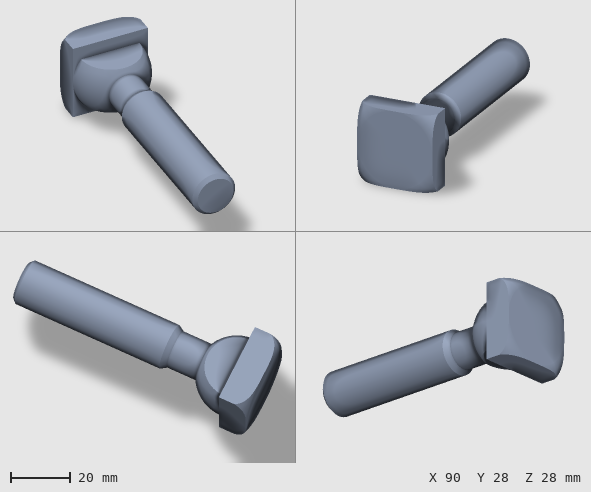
import cadquery as cq
import math

total_length = 90.0
head_width = 28.0
head_thickness = 10.0
corner_rounding = 6.0
collar_height = 17.6
neck_radius = 6.7
shank_radius = 8.0
shank_start = 32.85
shank_lead_in = 2.2
tip_chamfer = 1.35

half_width = head_width / 2
ball_reach = math.sqrt(half_width**2 - neck_radius**2)


def make_head():
    """Square plate with its front corners rounded around the bolt axis."""
    plate = cq.Workplane("YZ").rect(head_width, head_width).extrude(head_thickness)
    diagonal_step = corner_rounding / math.sqrt(2)
    rounded_envelope = (
        cq.Workplane("XY")
        .lineTo(0, half_width)
        .threePointArc(
            (corner_rounding - diagonal_step, half_width + diagonal_step),
            (corner_rounding, half_width + corner_rounding),
        )
        .lineTo(head_thickness, half_width + corner_rounding)
        .lineTo(head_thickness, 0)
        .close()
        .revolve(360, (0, 0, 0), (1, 0, 0))
    )
    return plate.intersect(rounded_envelope)


def make_collar():
    """Half ball behind the head, flattened above and below, ending at the neck radius."""
    middle_angle = math.atan2(neck_radius, ball_reach) / 2 + math.pi / 4
    ball = (
        cq.Workplane("XY")
        .lineTo(0, half_width)
        .threePointArc(
            (half_width * math.cos(middle_angle), half_width * math.sin(middle_angle)),
            (ball_reach, neck_radius),
        )
        .lineTo(ball_reach, 0)
        .close()
        .revolve(360, (0, 0, 0), (1, 0, 0))
    )
    slab = cq.Workplane("XY").box(
        half_width, head_width, collar_height, centered=(False, True, True)
    )
    return ball.intersect(slab).translate((head_thickness, 0, 0))


def make_stem():
    """Neck and chamfered shank, turned about X."""
    return (
        cq.Workplane("XY")
        .moveTo(head_thickness, 0)
        .lineTo(head_thickness, neck_radius)
        .lineTo(shank_start, neck_radius)
        .lineTo(shank_start + shank_lead_in, shank_radius)
        .lineTo(total_length - tip_chamfer, shank_radius)
        .lineTo(total_length, shank_radius - tip_chamfer)
        .lineTo(total_length, 0)
        .close()
        .revolve(360, (0, 0, 0), (1, 0, 0))
    )


result = make_head().union(make_collar()).union(make_stem())